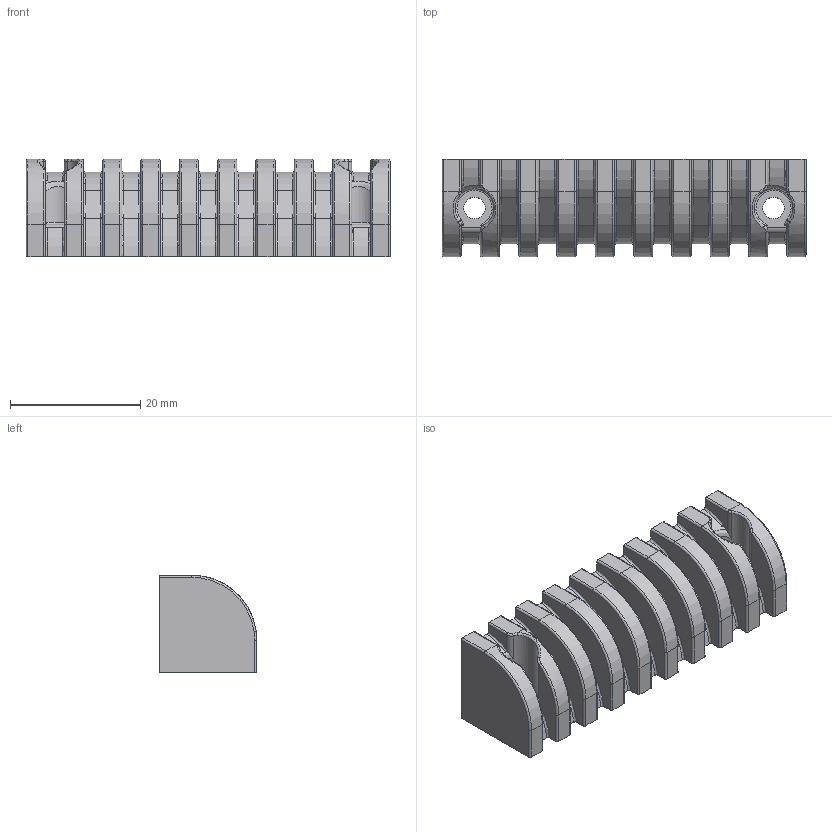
import cadquery as cq
import math

length = 56.0
side = 15.0
corner_radius = 10.0

groove_count = 9
rib_count = groove_count + 1
rib_width = length / (rib_count + groove_count)
rib_pitch = 2 * rib_width
edge_radius = 0.3

groove_depth = 2.0
floor_reach = side - groove_depth
floor_radius = 10.0
flat_near = 5.93
flat_far = 10.15

screw_end_distance = 5.0
screw_depth = side / 2
screw_diameter = 3.3
bore_radius = 3.0
bore_floor = 5.0
flare_radius = 1.0
lip_radius = 1.0

left_end = -length / 2
groove_left = left_end + rib_width
groove_right = groove_left + rib_width
screw_x = left_end + screw_end_distance
bore_front = screw_depth + bore_radius

flare_reach = bore_radius + flare_radius
left_offset = screw_x - groove_left + flare_radius
right_offset = groove_right - screw_x + flare_radius
bed_left = screw_x - left_offset * bore_radius / flare_reach
bed_right = screw_x + right_offset * bore_radius / flare_reach

lip_back = screw_depth - math.sqrt(flare_reach**2 - right_offset**2)
lip_bottom = bore_floor - lip_radius / 2

chord_run = flat_near
chord_drop = floor_reach - flat_far
chord = math.hypot(chord_run, chord_drop)
rise = floor_radius - math.sqrt(floor_radius**2 - (chord / 2) ** 2)
arc_middle_near = chord_run / 2 + rise * chord_drop / chord
arc_middle_far = (floor_reach + flat_far) / 2 + rise * chord_run / chord

beyond = 2 * side
stub_height = 0.5
margin = 0.05


def block(x_range, y_range, z_range):
    """Box between the given limits."""
    ranges = (x_range, y_range, z_range)
    sizes = [high - low for low, high in ranges]
    corner = tuple(low for low, high in ranges)
    return cq.Workplane("XY").box(*sizes, centered=False).translate(corner)


def zone(x_range, y_range, z_range):
    """Selector for edges whose centre lies between the given limits."""
    ranges = (x_range, y_range, z_range)
    low_corner = tuple(low for low, high in ranges)
    high_corner = tuple(high for low, high in ranges)
    return cq.selectors.BoxSelector(low_corner, high_corner)


def floor_section(start_x):
    """Section of the part under a groove."""
    return (
        cq.Workplane("YZ", origin=(start_x, 0, 0))
        .lineTo(-floor_reach, 0)
        .threePointArc((-arc_middle_far, arc_middle_near), (-flat_far, flat_near))
        .lineTo(-flat_near, flat_far)
        .threePointArc((-arc_middle_near, arc_middle_far), (0, floor_reach))
        .lineTo(0, 0)
        .close()
    )


def make_groove_floor():
    """Floor of the first groove, with fillets rising to the ribs at both sides."""
    slab = floor_section(groove_left).extrude(rib_width)
    near_floor = floor_section(groove_left - rib_width).offset2D(margin).extrude(3 * rib_width).val()
    floor = slab
    for start_x in (groove_left - rib_width, groove_right):
        stub = floor_section(start_x).offset2D(stub_height).extrude(rib_width)
        floor = floor.union(stub)
    limits = block((left_end, groove_right + rib_width), (-side, 0), (0, side))
    floor = floor.intersect(limits)

    feet = []
    for wall_x in (groove_left, groove_right):
        wall = zone((wall_x - margin, wall_x + margin), (-side, -margin), (margin, side))
        wall_edges = floor.edges(wall).vals()
        feet += [edge for edge in wall_edges if near_floor.isInside(edge.positionAt(0.5))]
    floor = floor.newObject(feet).fillet(edge_radius)
    return floor.intersect(block((groove_left, groove_right), (-side, 0), (0, side)))


def make_bore():
    """Counterbore without its opening to the groove."""
    return (
        cq.Workplane("XY", origin=(screw_x, -screw_depth, bore_floor))
        .circle(bore_radius)
        .extrude(beyond)
    )


def make_keyhole():
    """Counterbore joined to the end groove through flared corners."""
    slot = block((groove_left, groove_right), (-beyond, beyond), (bore_floor, bore_floor + beyond))
    corners = zone(
        (groove_left - margin, groove_right + margin),
        (-bore_front, bore_radius - screw_depth),
        (bore_floor, bore_floor + beyond),
    )
    return make_bore().union(slot).edges("|Z").edges(corners).fillet(flare_radius)


def make_bed():
    """Floor of the end groove around the counterbore, with rounded lips."""
    bed = floor_section(bed_left).extrude(bed_right - bed_left)
    opening = block((bed_left, bed_right), (-side, -screw_depth), (bore_floor, side))
    bed = bed.cut(make_bore()).cut(opening)

    groove_range = (groove_left, groove_right)
    back_lip = zone(groove_range, (-flat_near, -lip_back), (flat_far, floor_reach))
    front_lip = zone(
        groove_range, (-floor_reach, -bore_front), (bore_floor - margin, bore_floor + margin)
    )
    lips = bed.edges(back_lip).vals() + bed.edges(front_lip).vals()
    return bed.newObject(lips).fillet(lip_radius)


def make_bore_foot(keyhole):
    """Fillet between the floor and the wall of the counterbore."""
    front = block((left_end, 0), (-beyond, -screw_depth), (0, bore_floor + beyond))
    pocket = make_bore().union(keyhole.intersect(front)).clean()
    rounded_pocket = pocket.faces("<Z").edges().fillet(edge_radius)
    limits = block(
        (left_end, 0), (edge_radius - bore_front, 0), (bore_floor, bore_floor + edge_radius)
    )
    return pocket.cut(rounded_pocket).intersect(limits)


def make_rib(start_x):
    """Square plate with a round front top corner."""
    return (
        cq.Workplane("YZ", origin=(start_x, 0, 0))
        .lineTo(-side, 0)
        .lineTo(-side, side - corner_radius)
        .tangentArcPoint((corner_radius - side, side), relative=False)
        .lineTo(0, side)
        .close()
        .extrude(rib_width)
    )


def soften(rib):
    """Round the outer edges; the fillet runs on along every tangent edge."""
    return rib.faces(">Z").edges("|Y").fillet(edge_radius)


def make_notched_rib(start_x, keyhole):
    """Rib beside the end groove, hollowed by the counterbore above its floor."""
    rib = make_rib(start_x)
    deep_keyhole = keyhole.translate((0, 0, -bore_floor))
    upper_range = block((left_end, 0), (-side, 0), (bore_floor, side))
    lower_range = block((left_end, 0), (-side, 0), (0, bore_floor))
    upper = soften(rib.cut(deep_keyhole)).intersect(upper_range)
    lower = soften(rib).intersect(lower_range)
    return upper.union(lower)


def make_end_groove(groove_floor):
    """Floor of the end groove, opened for the counterbore and its lips."""
    lip_zone = block((bed_left, bed_right), (-side, -lip_back), (lip_bottom, side))
    return make_bed().union(groove_floor.cut(lip_zone).cut(make_bore()))


keyhole = make_keyhole()
groove_floor = make_groove_floor()
half = make_end_groove(groove_floor)
for rib_index in range(rib_count // 2):
    rib_start = left_end + rib_index * rib_pitch
    if rib_start < groove_right + margin:
        half = half.union(make_notched_rib(rib_start, keyhole))
    else:
        half = half.union(soften(make_rib(rib_start)))
half = half.union(make_bore_foot(keyhole))
for groove_index in range(1, groove_count // 2 + 1):
    half = half.union(groove_floor.translate((groove_index * rib_pitch, 0, 0)))
half = half.intersect(block((left_end, 0), (-side, 0), (0, side)))

screw_hole = cq.Workplane("XY").center(screw_x, -screw_depth).circle(screw_diameter / 2).extrude(side)
half = half.cut(screw_hole)

result = half.union(half.mirror("YZ"))